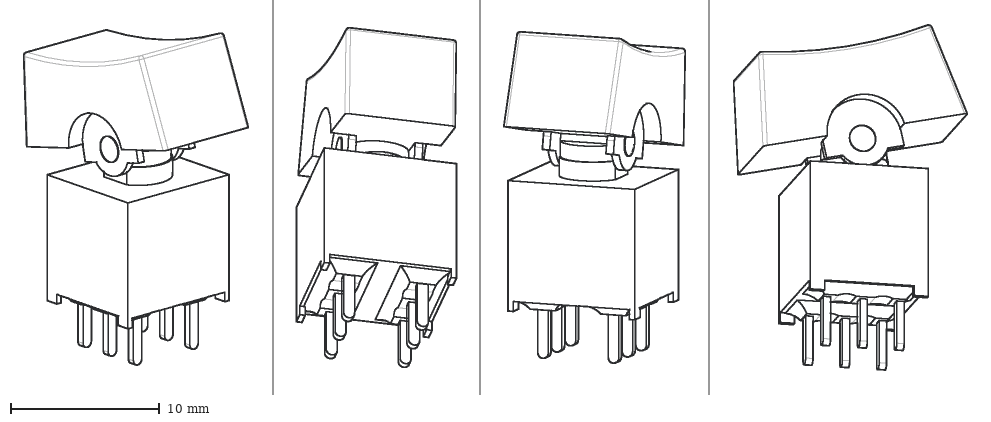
import cadquery as cq

housing_length = 8.15
housing_width = 9.14
housing_height = 8.9
foot_height = 0.68
foot_length = 1.0
foot_thickness = 0.38
recess_length = housing_length - 2 * foot_length
recess_width = housing_width - 2 * foot_thickness

terminal_pitch = 2.55
row_spacing = 2 * terminal_pitch
terminal_length = 3.3
terminal_thickness = 0.52
terminal_width = 0.76

ridge_bottom_width = 1.8
ridge_bottom_length = 5.7
ridge_flare = 0.85
ridge_flare_bulge = 0.07
ridge_dip_depth = 0.11
ridge_dip_length = 1.25

stem_diameter = 4.64
stem_flat_width = 4.05
stem_shoulder_z = 10.2
neck_diameter = 4.43

pivot_z = 11.27
tilt_angle = 12.7
cap_width = 7.63
cap_bottom_length = 14.5
cap_top_length = 12.2
cap_bottom_height = 0.3
cap_top_height = 6.82
cap_top_sag = 0.6
cap_edge_radius = 0.25

ear_span = 5.13
ear_radius = 2.75
ear_drop = 0.92
ear_lobe_diameter = 3.74
pivot_diameter = 1.8
pivot_length = 5.26


def box(length, width, height, bottom_z):
    """Box centred on the Z axis with its underside at bottom_z."""
    return cq.Workplane("XY", origin=(0, 0, bottom_z)).box(length, width, height, centered=(True, True, False))


def make_housing():
    block = box(housing_length, housing_width, housing_height, 0)
    lengthwise_gap = box(recess_length, housing_width, foot_height, 0)
    crosswise_gap = box(housing_length, recess_width, foot_height, 0)
    return block.cut(lengthwise_gap).cut(crosswise_gap)


def flared_prism(plane, bottom_size, extrude_length):
    """Prism centred on the origin whose two flanks flare out concavely up to the housing floor."""
    half_bottom = bottom_size / 2
    half_top = half_bottom + ridge_flare
    flank = half_bottom + ridge_flare / 2 - ridge_flare_bulge
    flank_z = foot_height / 2 + ridge_flare_bulge
    return (
        cq.Workplane(plane)
        .moveTo(-half_top, foot_height)
        .threePointArc((-flank, flank_z), (-half_bottom, 0))
        .lineTo(half_bottom, 0)
        .threePointArc((flank, flank_z), (half_top, foot_height))
        .close()
        .extrude(extrude_length / 2, both=True)
    )


def make_ridge(row_y):
    """Ridge along X flared on all four sides, with a shallow arched dip between terminals."""
    ridge_top_width = ridge_bottom_width + 2 * ridge_flare
    ridge_top_length = ridge_bottom_length + 2 * ridge_flare
    lengthwise = flared_prism("YZ", ridge_bottom_width, ridge_top_length)
    crosswise = flared_prism("XZ", ridge_bottom_length, ridge_top_width)
    ridge = lengthwise.intersect(crosswise)
    half_dip = ridge_dip_length / 2
    for side in (-1, 1):
        dip = (
            cq.Workplane("XZ", origin=(side * terminal_pitch / 2, 0, 0))
            .moveTo(-half_dip, 0)
            .threePointArc((0, ridge_dip_depth), (half_dip, 0))
            .close()
            .extrude(ridge_top_width / 2, both=True)
        )
        ridge = ridge.cut(dip)
    return ridge.translate((0, row_y, 0))


def make_terminal(x, row_y):
    """Flat blade with a fully rounded tip, rooted in the housing floor."""
    half_width = terminal_width / 2
    return (
        cq.Workplane("YZ", origin=(x, row_y, 0))
        .moveTo(-half_width, foot_height)
        .lineTo(-half_width, half_width - terminal_length)
        .threePointArc((0, -terminal_length), (half_width, half_width - terminal_length))
        .lineTo(half_width, foot_height)
        .close()
        .extrude(terminal_thickness / 2, both=True)
    )


def make_stem():
    lower = cq.Workplane("XY", origin=(0, 0, housing_height)).circle(stem_diameter / 2)
    lower = lower.extrude(stem_shoulder_z - housing_height)
    neck = cq.Workplane("XY", origin=(0, 0, stem_shoulder_z)).circle(neck_diameter / 2)
    neck = neck.extrude(pivot_z - stem_shoulder_z)
    flats = box(stem_diameter, stem_flat_width, pivot_z - housing_height, housing_height)
    return lower.union(neck).intersect(flats)


def make_cap():
    """Tapered cap with a concave top, rounded edges and a round pocket in each side above the ear."""
    half_bottom = cap_bottom_length / 2
    half_top = cap_top_length / 2
    cap = (
        cq.Workplane("XZ")
        .moveTo(-half_bottom, cap_bottom_height)
        .lineTo(-half_top, cap_top_height)
        .threePointArc((0, cap_top_height - cap_top_sag), (half_top, cap_top_height))
        .lineTo(half_bottom, cap_bottom_height)
        .close()
        .extrude(cap_width / 2, both=True)
        .edges("not(<Z)").fillet(cap_edge_radius)
    )
    pocket_depth = (cap_width - ear_span) / 2
    for outward in (-1, 1):
        pocket = cq.Workplane("XZ", origin=(0, outward * ear_span / 2, 0)).circle(ear_radius)
        cap = cap.cut(pocket.extrude(-outward * pocket_depth))
    return cap


def make_ears():
    """Round-topped plates with straight sides and a round lobe underneath, joined by the pivot pin."""
    upper = (
        cq.Workplane("XZ")
        .moveTo(-ear_radius, -ear_drop)
        .lineTo(-ear_radius, 0)
        .threePointArc((0, ear_radius), (ear_radius, 0))
        .lineTo(ear_radius, -ear_drop)
        .close()
        .extrude(ear_span / 2, both=True)
    )
    lobe = cq.Workplane("XZ").circle(ear_lobe_diameter / 2).extrude(ear_span / 2, both=True)
    ear_diameter = 2 * ear_radius
    gap = cq.Workplane("XY").box(ear_diameter, stem_flat_width, ear_diameter)
    pivot = cq.Workplane("XZ").circle(pivot_diameter / 2).extrude(pivot_length / 2, both=True)
    return upper.union(lobe).cut(gap).union(pivot)


rocker = make_cap().union(make_ears())
rocker = rocker.rotate((0, 0, 0), (0, 1, 0), -tilt_angle).translate((0, 0, pivot_z))

result = make_housing().union(make_stem()).union(rocker)
for row_y in (-row_spacing / 2, row_spacing / 2):
    result = result.union(make_ridge(row_y))
    for x in (-terminal_pitch, 0, terminal_pitch):
        result = result.union(make_terminal(x, row_y))